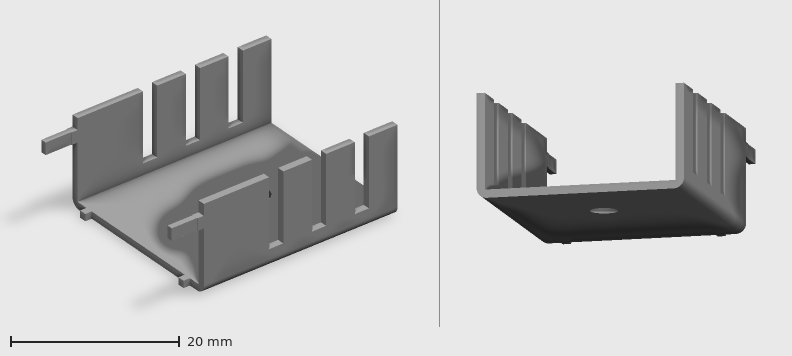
import cadquery as cq

width = 25.4
overall_length = 33.78
height = 12.7
sheet = 1.0
bend_radius = 1.25
channel_length = 29.05

hole_diameter = 3.38
hole_from_back = 11.2

slot_count = 3
slot_width = 2.13
fin_width = 4.3
slot_floor = 2.67

pin_bottom = 9.3
pin_height = 1.75
pin_thickness = 0.8
shoulder_length = 0.9

tab_width = 1.0
tab_length = 0.95
tab_offset = 9.5

back = overall_length / 2
channel_front = back - channel_length
pin_length = overall_length - channel_length


def box(x_start, y_start, z_start, x_size, y_size, z_size):
    """Box grown from its lowest corner."""
    corner = cq.Vector(x_start, y_start, z_start)
    return cq.Workplane(cq.Solid.makeBox(x_size, y_size, z_size, corner))


def make_channel():
    """U channel with rounded outer bends and sharp inner corners."""
    outer = box(-width / 2, channel_front, 0, width, channel_length, height)
    outer = outer.edges("|Y and <Z").fillet(bend_radius)
    inner_width = width - 2 * sheet
    inner = box(-inner_width / 2, channel_front, sheet, inner_width, channel_length, height)
    return outer.cut(inner)


def cut_slots(body):
    """Cut evenly spaced slots through both walls, open at the top."""
    for index in range(slot_count):
        slot_back = back - fin_width - index * (fin_width + slot_width)
        slot = box(-width / 2, slot_back - slot_width, slot_floor, width, slot_width, height)
        body = body.cut(slot)
    return body


def cut_hole(body):
    """Drill the mounting hole through the base."""
    drill = (
        cq.Workplane("XY")
        .center(0, back - hole_from_back)
        .circle(hole_diameter / 2)
        .extrude(sheet)
    )
    return body.cut(drill)


def make_left_pin():
    """Pin centred in the wall thickness, with a full-thickness shoulder at its root."""
    shoulder_front = channel_front - shoulder_length
    shoulder = box(-width / 2, shoulder_front, pin_bottom, sheet, shoulder_length, pin_height)
    pin_left = -width / 2 + (sheet - pin_thickness) / 2
    pin = box(pin_left, -back, pin_bottom, pin_thickness, pin_length, pin_height)
    return shoulder.union(pin)


def make_left_tab():
    """Tab extending the base sheet forward."""
    tab_left = -tab_offset - tab_width / 2
    return box(tab_left, channel_front - tab_length, 0, tab_width, tab_length, sheet)


result = cut_hole(cut_slots(make_channel()))
for feature in (make_left_pin(), make_left_tab()):
    result = result.union(feature).union(feature.mirror("YZ"))